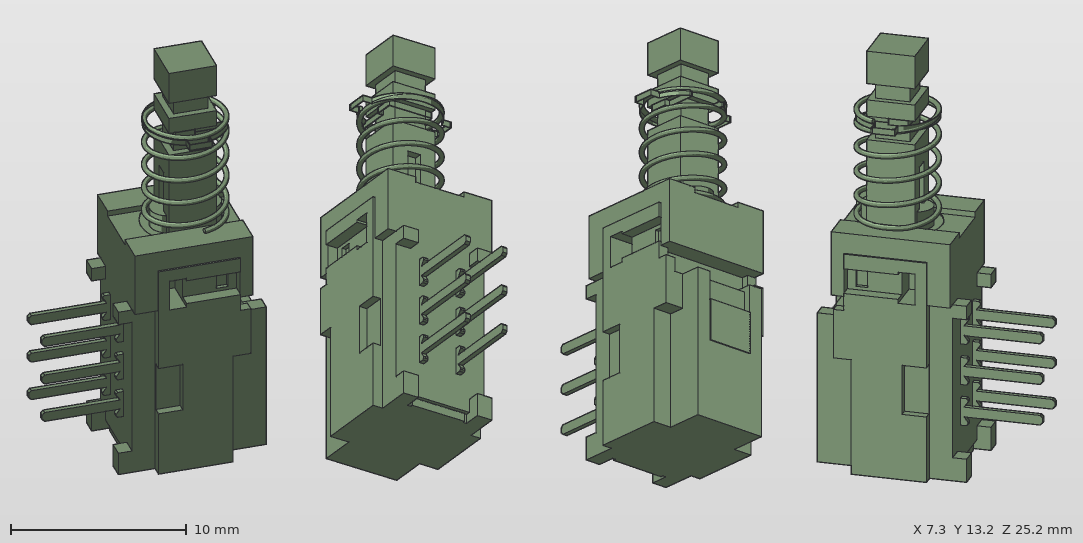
import cadquery as cq
import math


PLUNGER_TOP = 25.2
PLUNGER_SIDE = 2.85
NECK_SIDE = 2.05
CAP_HEIGHT = 2.0
UPPER_NECK_HEIGHT = 1.0
COLLAR_HEIGHT = 1.0
SHOULDER_Z = 19.75
CAP_BOTTOM = PLUNGER_TOP - CAP_HEIGHT
COLLAR_TOP = CAP_BOTTOM - UPPER_NECK_HEIGHT
COLLAR_BOTTOM = COLLAR_TOP - COLLAR_HEIGHT

LUG_RADIUS = 1.05
LUG_REACH = 2.12
LUG_TOP = 15.45
SLOT_WIDTH = 0.84
SLOT_DEPTH = 0.5
SLOT_TOP = 18.0

HEAD_SIDE = 7.05
BODY_Y_CENTER = -0.6
BODY_FRONT = BODY_Y_CENTER - HEAD_SIDE / 2
HEAD_BACK = BODY_Y_CENTER + HEAD_SIDE / 2
HEAD_TOP = 14.74
HEAD_BOTTOM = 10.84
BASE_WIDTH = 6.0
BASE_BACK = 1.7

CHANNEL_WIDTH = 3.26
CHANNEL_DEPTH = 0.33
CHANNEL_FLOOR = HEAD_TOP - CHANNEL_DEPTH
CLEARANCE_RADIUS = 2.63
CLEARANCE_BACK = 2.13
CLEARANCE_DEPTH = 0.1

COVER_WIDTH = 7.3
COVER_TOP = 13.5
COVER_FRONT = -2.76
COVER_BACK_UPPER = 2.15
COVER_BACK_MIDDLE = 2.76
COVER_BACK_LOWER = BASE_BACK
COVER_STEP_UPPER = 10.03
NOTCH_TOP = 7.05
NOTCH_BOTTOM = 4.03
NOTCH_BACK = -1.31
NOTCH_FLOOR_X = 3.14

WINDOW_FRONT = -1.08
WINDOW_BOTTOM = 11.08
WINDOW_TOP = 12.6
WINDOW_DEPTH = 0.76
SLIT_FRONT = -2.09
SLIT_BOTTOM = HEAD_BOTTOM
SLIT_TOP = 12.75
PEEP_FRONT = 0.94
PEEP_BACK = 1.64
PEEP_BOTTOM = 11.28
PEEP_TOP = 12.36
PEEP_DEPTH = 0.25

BLOCK_WIDTH = 4.8
BLOCK_TOP = 9.18
BLOCK_BACK = 4.08
TONGUE_WIDTH = 2.96
TONGUE_STEP_Y = 3.64
TONGUE_STEP_DEPTH = 0.3
BUMP_BACK = 4.15
BUMP_BOTTOM = 4.9
BUMP_TOP = 7.45

FOOT_WIDTH = 1.0
FOOT_LENGTH = 0.83
UPPER_FOOT_HEIGHT = 0.83
LOWER_FOOT_HEIGHT = 1.43
RECESS_WIDTH = BASE_WIDTH - 2 * FOOT_WIDTH
RECESS_HEIGHT = 0.58
RECESS_DEPTH = 0.3
PAD_WIDTH = 3.56
PAD_HEIGHT = 0.52
PAD_DEPTH = 0.15

PIN_COLUMNS = (-1.25, 1.25)
PIN_MIDDLE_Z = 6.14
PIN_PITCH = 2.5
PIN_THICKNESS = 0.3
PIN_WIDTH = 0.6
PIN_TIP = -9.0
PIN_TIP_CHAMFER = 0.15
BARB_HEIGHT = 1.66
BARB_REACH = 0.46
BARB_BEVEL = 0.1
BARB_THROAT = 0.22
PIN_ROOT = 0.5

CLIP_TOP = COLLAR_BOTTOM
CLIP_THICKNESS = 0.38
CLIP_RADIUS = 2.48
CLIP_BACK = 2.12
CLIP_TAB_SPAN = 6.0
CLIP_TAB_WIDTH = 1.4
CLIP_MOUTH_WIDTH = 2.2
CLIP_SEAT_WIDTH = 2.85
CLIP_SEAT_BACK = 0.1
CLIP_WALL = 0.05

WIRE_DIAMETER = 0.3
COIL_RADIUS = 2.35
COIL_PITCH = 1.5
COIL_Z_AT_ZERO = 15.5
BOTTOM_COIL_Z = 14.86
TOP_COIL_Z = 21.24
SPRING_START = -350
SPRING_END = 1600
SPRING_STEP = 15


def box(x0, x1, y0, y1, z0, z1):
    """Axis-aligned block between two opposite corners."""
    return cq.Workplane("XY").box(x1 - x0, y1 - y0, z1 - z0, centered=False).translate((x0, y0, z0))


def centered_box(width, y0, y1, z0, z1):
    """Block that is symmetric about x = 0."""
    return box(-width / 2, width / 2, y0, y1, z0, z1)


def square_bar(side, z0, z1):
    """Square bar on the plunger axis."""
    return centered_box(side, -side / 2, side / 2, z0, z1)


def disc(radius, y, z0, z1):
    """Vertical cylinder centred on x = 0."""
    return cq.Workplane("XY").center(0, y).circle(radius).extrude(z1 - z0).translate((0, 0, z0))


def yz_plate(points, x0, x1):
    """Plate with a (y, z) outline, between two X positions."""
    return cq.Workplane("YZ").polyline(points).close().extrude(x1 - x0).translate((x0, 0, 0))


def make_plunger():
    half = PLUNGER_SIDE / 2
    plunger = square_bar(PLUNGER_SIDE, HEAD_BOTTOM, SHOULDER_Z)
    plunger = plunger.union(square_bar(NECK_SIDE, SHOULDER_Z, PLUNGER_TOP))
    plunger = plunger.union(square_bar(PLUNGER_SIDE, COLLAR_BOTTOM, COLLAR_TOP))
    plunger = plunger.union(square_bar(PLUNGER_SIDE, CAP_BOTTOM, PLUNGER_TOP))
    plunger = plunger.cut(centered_box(SLOT_WIDTH, -half, SLOT_DEPTH - half, LUG_TOP, SLOT_TOP))
    for side in (-1, 1):
        lug_y = side * (LUG_REACH - LUG_RADIUS)
        plunger = plunger.union(disc(LUG_RADIUS, lug_y, SLIT_TOP, LUG_TOP))
    return plunger


def make_cover_cheeks():
    outline = [
        (COVER_FRONT, 0),
        (COVER_FRONT, NOTCH_BOTTOM),
        (NOTCH_BACK, NOTCH_BOTTOM),
        (NOTCH_BACK, NOTCH_TOP),
        (COVER_FRONT, NOTCH_TOP),
        (COVER_FRONT, COVER_TOP),
        (COVER_BACK_UPPER, COVER_TOP),
        (COVER_BACK_UPPER, COVER_STEP_UPPER),
        (COVER_BACK_MIDDLE, COVER_STEP_UPPER),
        (COVER_BACK_MIDDLE, NOTCH_TOP),
        (COVER_BACK_LOWER, NOTCH_TOP),
        (COVER_BACK_LOWER, 0),
    ]
    cheeks = yz_plate(outline, -COVER_WIDTH / 2, COVER_WIDTH / 2)
    core = centered_box(BASE_WIDTH, BASE_BACK, COVER_BACK_MIDDLE, BLOCK_TOP, HEAD_BOTTOM)
    notch_floor = centered_box(2 * NOTCH_FLOOR_X, COVER_FRONT, NOTCH_BACK, NOTCH_BOTTOM, NOTCH_TOP)
    return cheeks.cut(core).union(notch_floor)


def make_back_block():
    block = centered_box(BLOCK_WIDTH, BASE_BACK, BLOCK_BACK, 0, BLOCK_TOP)
    step_z = BLOCK_TOP - TONGUE_STEP_DEPTH
    block = block.cut(centered_box(TONGUE_WIDTH, HEAD_BACK, BLOCK_BACK, step_z, BLOCK_TOP))
    block = block.cut(centered_box(TONGUE_WIDTH, TONGUE_STEP_Y, BLOCK_BACK, BUMP_TOP, BLOCK_TOP))
    return block.union(centered_box(TONGUE_WIDTH, TONGUE_STEP_Y, BUMP_BACK, BUMP_BOTTOM, BUMP_TOP))


def cut_head_channel(housing):
    housing = housing.cut(centered_box(CHANNEL_WIDTH, BODY_FRONT, HEAD_BACK, CHANNEL_FLOOR, HEAD_TOP))
    recess_floor = CHANNEL_FLOOR - CLEARANCE_DEPTH
    front_half = centered_box(CHANNEL_WIDTH, -CLEARANCE_RADIUS, 0, recess_floor, CHANNEL_FLOOR)
    recess = disc(CLEARANCE_RADIUS, 0, recess_floor, CHANNEL_FLOOR).intersect(front_half)
    recess = recess.union(centered_box(CHANNEL_WIDTH, 0, CLEARANCE_BACK, recess_floor, CHANNEL_FLOOR))
    return housing.cut(recess)


def cut_side_windows(housing):
    housing = housing.cut(centered_box(COVER_WIDTH, SLIT_FRONT, WINDOW_FRONT, SLIT_BOTTOM, SLIT_TOP))
    outer = COVER_WIDTH / 2
    floor = outer - WINDOW_DEPTH
    peep_floor = floor - PEEP_DEPTH
    for side in (-1, 1):
        x0, x1 = sorted((side * floor, side * outer))
        housing = housing.cut(box(x0, x1, WINDOW_FRONT, COVER_BACK_UPPER, WINDOW_BOTTOM, WINDOW_TOP))
        x0, x1 = sorted((side * peep_floor, side * floor))
        housing = housing.cut(box(x0, x1, PEEP_FRONT, PEEP_BACK, PEEP_BOTTOM, PEEP_TOP))
    return housing


def make_feet():
    feet = cq.Workplane("XY")
    inner = BASE_WIDTH / 2 - FOOT_WIDTH
    outer = BASE_WIDTH / 2
    tip = BODY_FRONT - FOOT_LENGTH
    for z0, z1 in ((0, LOWER_FOOT_HEIGHT), (HEAD_BOTTOM - UPPER_FOOT_HEIGHT, HEAD_BOTTOM)):
        feet = feet.union(box(-outer, -inner, tip, BODY_FRONT, z0, z1))
        feet = feet.union(box(inner, outer, tip, BODY_FRONT, z0, z1))
    return feet


def cut_bottom_recess(housing):
    recess = centered_box(RECESS_WIDTH, BODY_FRONT, BODY_FRONT + RECESS_DEPTH, 0, RECESS_HEIGHT)
    pad = centered_box(PAD_WIDTH, BODY_FRONT + PAD_DEPTH, BODY_FRONT + RECESS_DEPTH, 0, PAD_HEIGHT)
    return housing.cut(recess.cut(pad))


def make_housing():
    housing = centered_box(HEAD_SIDE, BODY_FRONT, HEAD_BACK, HEAD_BOTTOM, HEAD_TOP)
    housing = housing.union(centered_box(BASE_WIDTH, BODY_FRONT, BASE_BACK, 0, HEAD_BOTTOM))
    housing = housing.union(make_cover_cheeks())
    housing = housing.union(make_back_block())
    housing = cut_head_channel(housing)
    housing = cut_side_windows(housing)
    housing = cut_bottom_recess(housing)
    return housing.union(make_feet())


def make_pin(x, z):
    """Flat terminal with a barb above and below its shaft."""
    shaft = PIN_WIDTH / 2
    barb = BARB_HEIGHT / 2
    barb_tip = BODY_FRONT - BARB_REACH
    barb_middle = barb - 2 * BARB_BEVEL
    throat = BODY_FRONT - BARB_THROAT
    upper = [
        (BODY_FRONT + PIN_ROOT, barb),
        (barb_tip + BARB_BEVEL, barb),
        (barb_tip, barb - BARB_BEVEL),
        (barb_tip, barb_middle),
        (throat, shaft),
        (PIN_TIP + PIN_TIP_CHAMFER, shaft),
        (PIN_TIP, shaft - PIN_TIP_CHAMFER),
    ]
    lower = [(y, -height) for y, height in reversed(upper)]
    outline = [(y, z + height) for y, height in upper + lower]
    return yz_plate(outline, x - PIN_THICKNESS / 2, x + PIN_THICKNESS / 2)


def make_pins():
    pins = cq.Workplane("XY")
    for x in PIN_COLUMNS:
        for row in (-1, 0, 1):
            pins = pins.union(make_pin(x, PIN_MIDDLE_Z + row * PIN_PITCH))
    return pins


def make_clip():
    """E-shaped clip, open towards +Y, bent from a thin band and seated on the neck under the collar."""
    z0 = CLIP_TOP - CLIP_THICKNESS
    neck = NECK_SIDE / 2
    clip = disc(CLIP_RADIUS, 0, z0, CLIP_TOP)
    clip = clip.union(centered_box(CLIP_TAB_SPAN, -CLIP_TAB_WIDTH / 2, CLIP_TAB_WIDTH / 2, z0, CLIP_TOP))
    clip = clip.cut(centered_box(2 * CLIP_RADIUS, CLIP_BACK, CLIP_RADIUS, z0, CLIP_TOP))
    clip = clip.cut(centered_box(CLIP_SEAT_WIDTH, -neck, CLIP_SEAT_BACK, z0, CLIP_TOP))
    clip = clip.cut(centered_box(CLIP_MOUTH_WIDTH, -neck, CLIP_BACK, z0, CLIP_TOP))
    return clip.faces("<Z or >Z").shell(-CLIP_WALL)


def coil_point(angle):
    """Point on the wire axis; the coil lies flat at both ends."""
    z = COIL_Z_AT_ZERO + COIL_PITCH * angle / 360
    z = min(max(z, BOTTOM_COIL_Z), TOP_COIL_Z)
    turn = math.radians(angle)
    return cq.Vector(COIL_RADIUS * math.cos(turn), COIL_RADIUS * math.sin(turn), z)


def make_spring():
    points = [coil_point(angle) for angle in range(SPRING_START, SPRING_END + 1, SPRING_STEP)]
    path = cq.Edge.makeSpline(points)
    section = cq.Plane(origin=path.startPoint(), normal=path.tangentAt(0))
    return cq.Workplane(section).circle(WIRE_DIAMETER / 2).sweep(cq.Workplane(obj=path))


result = (
    make_housing()
    .union(make_plunger())
    .union(make_pins())
    .union(make_clip())
    .union(make_spring())
)